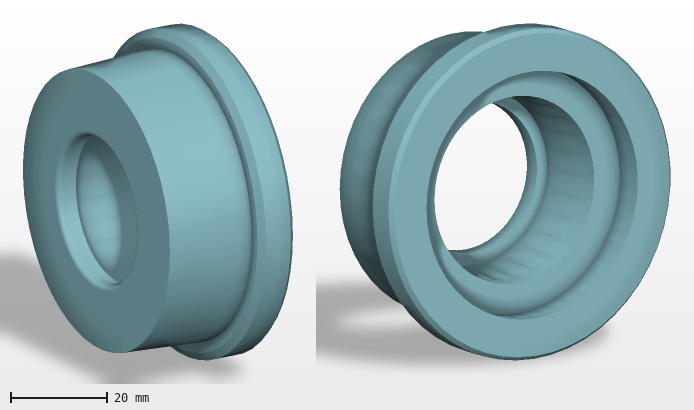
import cadquery as cq

flange_diameter = 70.0
total_length = 27.2
flange_thickness = 8.05

chamfer_length = 1.05
hub_side_chamfer_depth = 1.75
back_chamfer_depth = 0.85

hub_root_diameter = 61.95
hub_tip_diameter = 60.0

bore_diameter = 32.0
mouth_radius = 1.0
bore_land_length = 3.5
cone_start_diameter = 37.2
cone_end_diameter = 39.6

recess_diameter = 52.4
recess_depth = 6.8

flange_radius = flange_diameter / 2
bore_radius = bore_diameter / 2
hub_tip_y = -total_length / 2
back_y = total_length / 2
flange_face_y = back_y - flange_thickness
bore_step_y = hub_tip_y + mouth_radius + bore_land_length
recess_floor_y = back_y - recess_depth

section = (
    cq.Workplane("XY")
    .moveTo(bore_radius + mouth_radius, hub_tip_y)
    .lineTo(hub_tip_diameter / 2, hub_tip_y)
    .lineTo(hub_root_diameter / 2, flange_face_y)
    .lineTo(flange_radius - hub_side_chamfer_depth, flange_face_y)
    .lineTo(flange_radius, flange_face_y + chamfer_length)
    .lineTo(flange_radius, back_y - chamfer_length)
    .lineTo(flange_radius - back_chamfer_depth, back_y)
    .lineTo(recess_diameter / 2, back_y)
    .lineTo(recess_diameter / 2, recess_floor_y)
    .lineTo(cone_end_diameter / 2, recess_floor_y)
    .lineTo(cone_start_diameter / 2, bore_step_y)
    .lineTo(bore_radius, bore_step_y)
    .lineTo(bore_radius, hub_tip_y + mouth_radius)
    .tangentArcPoint((bore_radius + mouth_radius, hub_tip_y), relative=False)
    .close()
)

result = section.revolve(360, (0, 0, 0), (0, 1, 0))